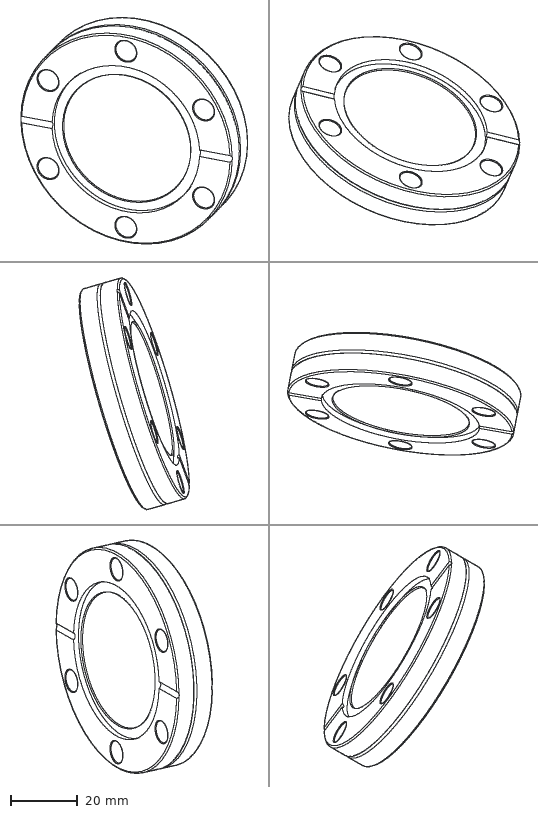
import cadquery as cq
import math

flange_diameter = 69.1
thickness = 12.7
rim_chamfer = 0.5

recess_diameter = 48.26
knife_diameter = 41.9
knife_inner_taper = 0.15
knife_tip_depth = 0.6
knife_angle = 20
floor_depth = 1.1

bolt_count = 6
bolt_circle_diameter = 58.7
bolt_hole_diameter = 6.7
bolt_hole_chamfer = 0.25

rim_groove_radius = 0.5
leak_groove_width = 2.2
leak_groove_depth = 0.6

flange_radius = flange_diameter / 2
recess_radius = recess_diameter / 2
knife_radius = knife_diameter / 2
half_thickness = thickness / 2


def make_disc():
    """Chamfered disc centred on the origin."""
    disc = cq.Workplane("XZ").circle(flange_radius).extrude(half_thickness, both=True)
    return disc.edges().chamfer(rim_chamfer)


def make_rim_groove():
    """Round-bottomed groove around the middle of the rim."""
    profile = cq.Workplane("XY").center(flange_radius, 0).circle(rim_groove_radius)
    return profile.revolve(360, (-flange_radius, 0, 0), (-flange_radius, 1, 0))


def make_recess():
    """Volume removed from the -Y face, leaving the knife edge standing."""
    face_y = -half_thickness
    tip_y = face_y + knife_tip_depth
    cone_rise = (recess_radius - knife_radius) * math.tan(math.radians(knife_angle))
    floor_y = face_y + floor_depth
    profile = (
        cq.Workplane("XY")
        .moveTo(0, face_y)
        .lineTo(recess_radius, face_y)
        .lineTo(recess_radius, tip_y + cone_rise)
        .lineTo(knife_radius, tip_y)
        .lineTo(knife_radius - knife_inner_taper, floor_y)
        .lineTo(0, floor_y)
        .close()
    )
    return profile.revolve(360, (0, 0, 0), (0, 1, 0))


def make_leak_grooves():
    """Round-bottomed groove along X in the -Y face, on both sides of the recess."""
    half_width = leak_groove_width / 2
    groove_radius = (half_width**2 + leak_groove_depth**2) / (2 * leak_groove_depth)
    axis_y = -half_thickness + leak_groove_depth - groove_radius
    groove = (
        cq.Workplane("YZ")
        .center(axis_y, 0)
        .circle(groove_radius)
        .extrude(flange_radius, both=True)
    )
    recess_area = cq.Workplane("XZ").circle(recess_radius).extrude(thickness, both=True)
    return groove.cut(recess_area)


def make_bolt_holes():
    """Through holes, widened by a small chamfer at both faces."""
    hole_radius = bolt_hole_diameter / 2
    mouth_radius = hole_radius + bolt_hole_chamfer
    chamfer_start = half_thickness - bolt_hole_chamfer
    hole = (
        cq.Workplane("XY")
        .moveTo(0, -half_thickness)
        .lineTo(mouth_radius, -half_thickness)
        .lineTo(hole_radius, -chamfer_start)
        .lineTo(hole_radius, chamfer_start)
        .lineTo(mouth_radius, half_thickness)
        .lineTo(0, half_thickness)
        .close()
        .revolve(360, (0, 0, 0), (0, 1, 0))
        .translate((0, 0, bolt_circle_diameter / 2))
    )
    holes = cq.Workplane("XY")
    for index in range(bolt_count):
        angle = index * 360 / bolt_count
        holes = holes.add(hole.rotate((0, 0, 0), (0, 1, 0), angle))
    return holes.combine()


flange = make_disc().cut(make_rim_groove()).cut(make_bolt_holes())
for face_cut in (make_recess(), make_leak_grooves()):
    flange = flange.cut(face_cut).cut(face_cut.mirror("XZ"))

result = flange